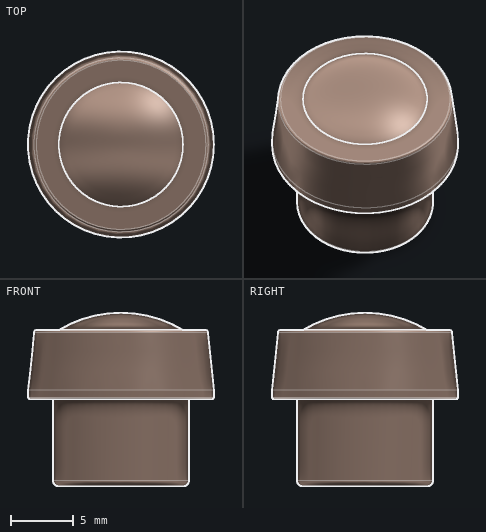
import cadquery as cq
import math

stem_diameter = 11.0
stem_height = 7.0
stem_fillet = 0.5

head_diameter = 15.0
head_top_diameter = 14.0
head_height = 5.6
rim_height = 0.8
head_edge_fillet = 0.2

dome_diameter = 10.0
overall_height = 14.0

head_radius = head_diameter / 2
head_top_z = stem_height + head_height
dome_radius = dome_diameter / 2
dome_height = overall_height - head_top_z
sphere_radius = (dome_radius**2 + dome_height**2) / (2 * dome_height)


def make_stem():
    stem = cq.Workplane("XY").circle(stem_diameter / 2).extrude(stem_height)
    return stem.faces("<Z").edges().fillet(stem_fillet)


def make_head():
    profile = (
        cq.Workplane("XZ")
        .moveTo(0, stem_height)
        .lineTo(head_radius, stem_height)
        .lineTo(head_radius, stem_height + rim_height)
        .lineTo(head_top_diameter / 2, head_top_z)
        .lineTo(0, head_top_z)
        .close()
    )
    head = profile.revolve(360, (0, 0, 0), (0, 1, 0))
    return head.faces("<Z or >Z").edges().fillet(head_edge_fillet)


def make_dome():
    half_angle = math.asin(dome_radius / sphere_radius)
    sphere_center_z = overall_height - sphere_radius
    arc_middle = (
        sphere_radius * math.sin(half_angle / 2),
        sphere_center_z + sphere_radius * math.cos(half_angle / 2),
    )
    profile = (
        cq.Workplane("XZ")
        .moveTo(0, head_top_z)
        .lineTo(dome_radius, head_top_z)
        .threePointArc(arc_middle, (0, overall_height))
        .close()
    )
    return profile.revolve(360, (0, 0, 0), (0, 1, 0))


result = make_stem().union(make_head()).union(make_dome())